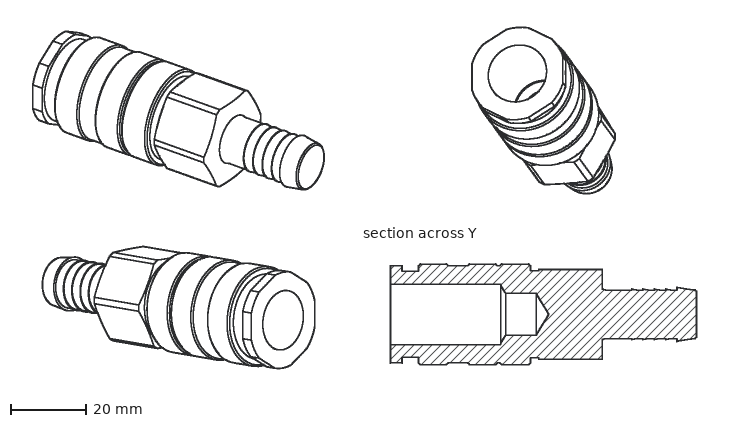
import cadquery as cq
import math

total_length = 81.5
flange_end = 3.1
sleeve_start = 7.4
waist_start = 15.4
waist_end = 20.5
groove_start = 28.5
groove_end = 29.1
sleeve_end = 37.3
hex_start = 39.45
hex_end = 56.5

flange_diameter = 26.0
flange_across_flats = 24.9
neck_diameter = 23.0
rear_neck_diameter = 23.3
sleeve_diameter = 26.9
waist_diameter = 26.0
sleeve_chamfer = 0.5

hex_across_flats = 24.0
hex_corner_diameter = 26.7
hex_face_diameter = 23.5
hex_chamfer_length = 0.5

tail_diameter = 13.0
root_diameter = 13.5
root_length = 0.9
rib_diameter = 13.5
first_rib = 64.2
rib_pitch = 3.0
rib_taper_length = 1.55
rib_count = 4
barb_start = 76.3
barb_diameter = 14.5
end_chamfer = 0.4

bore_diameter = 16.0
seat_diameter = 15.4
pilot_diameter = 11.1
bore_depth = 29.3
pilot_length = 8.15
drill_half_angle = 59.0


def revolve_profile(points):
    """Revolve (x, radius) points about the X axis."""
    return cq.Workplane("XY").polyline(points).close().revolve(360, (0, 0, 0), (1, 0, 0))


def cylinder(start, end, diameter):
    radius = diameter / 2
    return revolve_profile([(start, 0), (start, radius), (end, radius), (end, 0)])


def hexagon(start, end, across_flats, turn):
    """Hexagonal bar along X; at zero turn its corners point along Y."""
    return (
        cq.Workplane("YZ", origin=(start, 0, 0))
        .transformed(rotate=(0, 0, turn))
        .polygon(6, across_flats / math.cos(math.pi / 6))
        .extrude(end - start)
    )


def make_flange():
    flats = hexagon(0, flange_end, flange_across_flats, 30)
    return cylinder(0, flange_end, flange_diameter).intersect(flats)


def make_ring(start, end):
    """Raised grip ring of the sleeve with both rims chamfered."""
    return cylinder(start, end, sleeve_diameter).edges().chamfer(sleeve_chamfer)


def make_sleeve():
    sleeve = cylinder(flange_end, sleeve_end, neck_diameter)
    sleeve = sleeve.union(cylinder(waist_end, hex_start, rear_neck_diameter))
    waist = cylinder(sleeve_start + sleeve_chamfer, sleeve_end - sleeve_chamfer, waist_diameter)
    sleeve = sleeve.union(waist)
    ring_spans = [(sleeve_start, waist_start), (waist_end, groove_start), (groove_end, sleeve_end)]
    for start, end in ring_spans:
        sleeve = sleeve.union(make_ring(start, end))
    return sleeve


def make_hexagon():
    """Hexagon with turned corners and conical chamfers at both ends."""
    face_radius = hex_face_diameter / 2
    corner_radius = hex_corner_diameter / 2
    turned_blank = revolve_profile([
        (hex_start, 0),
        (hex_start, face_radius),
        (hex_start + hex_chamfer_length, corner_radius),
        (hex_end - hex_chamfer_length, corner_radius),
        (hex_end, face_radius),
        (hex_end, 0),
    ])
    return turned_blank.intersect(hexagon(hex_start, hex_end, hex_across_flats, 0))


def make_hose_tail():
    """Hose tail with a tapered root, saw-tooth ribs and a large end barb."""
    tail_radius = tail_diameter / 2
    points = [
        (hex_end, 0),
        (hex_end, root_diameter / 2),
        (hex_end + root_length, tail_radius),
    ]
    for index in range(rib_count):
        rib_start = first_rib + index * rib_pitch
        points += [
            (rib_start, tail_radius),
            (rib_start, rib_diameter / 2),
            (rib_start + rib_taper_length, tail_radius),
        ]
    points += [
        (barb_start, tail_radius),
        (barb_start, barb_diameter / 2),
        (total_length - end_chamfer, tail_radius),
        (total_length, tail_radius - end_chamfer),
        (total_length, 0),
    ]
    return revolve_profile(points)


def drill_cone_length(start_diameter, end_diameter):
    return (start_diameter - end_diameter) / 2 / math.tan(math.radians(drill_half_angle))


def make_bore():
    """Blind bore with a narrow seat and a drill cone leading into a smaller pilot hole."""
    pilot_start = bore_depth + drill_cone_length(seat_diameter, pilot_diameter)
    pilot_end = pilot_start + pilot_length
    return revolve_profile([
        (0, 0),
        (0, bore_diameter / 2),
        (bore_depth, bore_diameter / 2),
        (bore_depth, seat_diameter / 2),
        (pilot_start, pilot_diameter / 2),
        (pilot_end, pilot_diameter / 2),
        (pilot_end + drill_cone_length(pilot_diameter, 0), 0),
    ])


body = make_flange().union(make_sleeve()).union(make_hexagon()).union(make_hose_tail())
result = body.cut(make_bore())